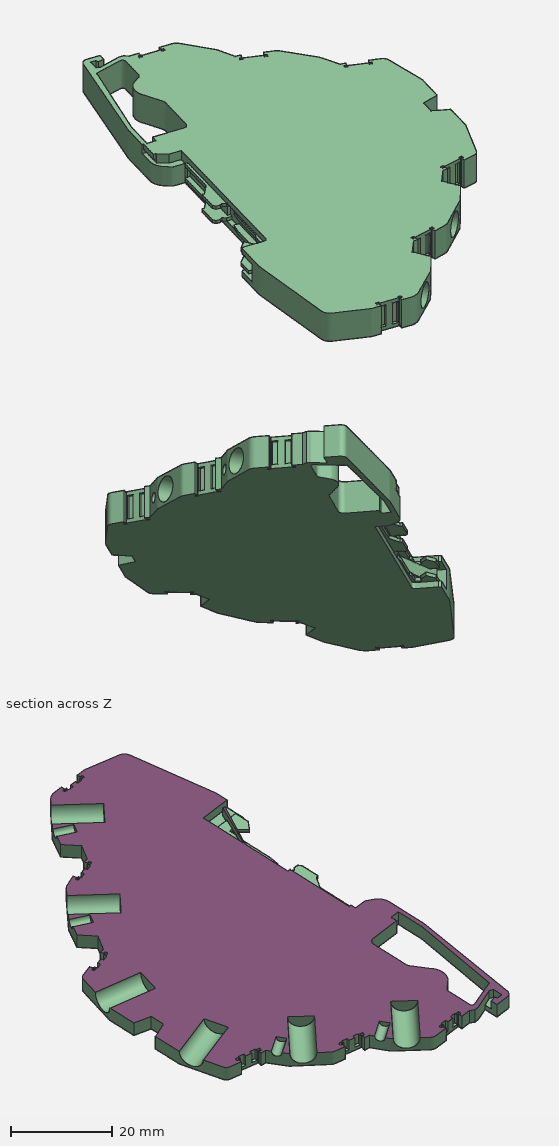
import cadquery as cq
import math

THICKNESS = 6.7
TOTAL_HEIGHT = 60.0
LEFT_END = -46.6
RIGHT_END = 59.4
MID_Z = THICKNESS / 2

HOUSING_BOTTOM = 12.6
HOUSING_LEFT = -43.8
TIER_DROP = 17.1
LEFT_TIER_RUN = 12.1
RIGHT_TIER_RUN = 19.9
RIGHT_TIER_OFFSET = RIGHT_TIER_RUN - LEFT_TIER_RUN
UPPER_FLAT_HALF = 9.3
UPPER_SHOULDER = (19.5, 57.2)
UPPER_LIP = (20.4, 54.0)
UPPER_FOOT = (21.6, 49.3)

GROOVE_LENGTH = 4.6
GROOVE_DEPTH = 1.0
GROOVE_TILT = 15
LOWER_GROOVE_MIDDLE = 17.1
MOUTH_CLEARANCE = 1.1
UNDERCUT_DEPTH = 1.4
UNDERCUT_OVERLAP = 0.1
UNDERCUT_WIDTH = 0.6
POCKET_INNER = 0.7
POCKET_OUTER = 1.9
POCKET_DEPTH = 1.6
POCKET_EDGE = 0.8

BORE_DIAMETER = 5.3
BORE_DEPTH = 10.6
TEST_DIAMETER = 2.1
TEST_DEPTH = 4.2
SIDE_BORE = (27.8, 43.8)
SIDE_BORE_ANGLE = 45
TEST_HOLE = (23.6, 47.1)
TEST_ANGLE = 60
UPPER_BORE = (11.9, 59.3)
UPPER_BORE_ANGLE = 75

RAIL_TOP = 5.8
RAIL_LEFT = -7.1
RAIL_RIGHT = 27.9
LOOP_RIGHT = -14.2
LOOP_WALL = 1.5
LATCH_POCKET_FLOOR = 1.3

FOOT_BOTTOM_Z = 1.3
FOOT_TOP_Z = 5.4
PLATE = 0.7
FOOT_LEFT = -5.9
FOOT_RIGHT = 32.5
FOOT_POCKET_TOP = 7.0
WEB_EDGE = 6.4
WEB_RIGHT = 10.0
PLATE_GAP_LEFT = 10.7
PLATE_GAP_RIGHT = 13.7
PLATE_RIGHT = 29.7
PLATE_EDGE = 5.2
TONGUE_START = (21.3, FOOT_POCKET_TOP)
TONGUE_END = (31.7, 1.7)
TONGUE_THICKNESS = 0.6

STEP_Z = 4.6
STEP_HEIGHT = 1.0
COVER_BOTTOM = 0.3
COVER_RIGHT = -10.1
COVER_TOE = (-10.5, 0)
COVER_RAIL_LEFT = -8.7
LEG_BEND_HEIGHT = 3.1


def prism(points, bottom=0.0, top=THICKNESS):
    """Straight-sided outline extruded between two Z levels."""
    return cq.Workplane("XY").workplane(offset=bottom).polyline(points).close().extrude(top - bottom)


def block(x0, x1, y0, y1, z0=0.0, z1=THICKNESS):
    return prism([(x0, y0), (x1, y0), (x1, y1), (x0, y1)], z0, z1)


def mirrored(points):
    return [(-x, y) for x, y in points]


def rounded(solid, corners):
    """Round the full-height edges standing at the given (position, radius) corners."""
    for (x, y), radius in corners:
        edge = cq.selectors.NearestToPointSelector((x, y, MID_Z))
        solid = solid.edges("|Z").edges(edge).fillet(radius)
    return solid


def shifted(points, dx, dy):
    return [(x + dx, y + dy) for x, y in points]


upper_end = [
    (UPPER_FLAT_HALF, TOTAL_HEIGHT),
    UPPER_SHOULDER,
    UPPER_LIP,
    UPPER_FOOT,
]
left_shoulder = (-31.9, 39.5)
right_shoulder = (39.3, 40.0)
lower_left_shoulder = (HOUSING_LEFT, 23.0)
lower_right_shoulder = (RIGHT_END, 22.7)
right_valley = [(21.7, 48.3), (25.0, 46.3), (28.3, 48.9), (32.9, 46.3)]
left_step = [(-21.7, 48.2), (-25.9, 45.8), left_shoulder, (-32.5, 37.1), (-33.8, 32.3)]
right_step = right_valley + [right_shoulder, (40.3, 37.1), (41.5, 32.3)]
left_lower = [(-33.9, 31.2), (-37.7, 29.0), lower_left_shoulder, (HOUSING_LEFT, HOUSING_BOTTOM)]
right_lower = shifted(right_valley, RIGHT_TIER_RUN, -TIER_DROP) + [
    lower_right_shoulder,
    (RIGHT_END, HOUSING_BOTTOM),
]
left_side = mirrored(upper_end) + left_step + left_lower
right_side = upper_end + right_step + right_lower
housing = rounded(
    prism(left_side + right_side[::-1]),
    [
        (mirrored([UPPER_SHOULDER])[0], 1.5),
        (UPPER_SHOULDER, 1.5),
        (left_shoulder, 1.6),
        (right_shoulder, 1.6),
        (lower_left_shoulder, 2.1),
        (lower_right_shoulder, 3.1),
    ],
)

notch = prism([(-2.9, TOTAL_HEIGHT), (-1.6, 56.3), (1.6, 56.3), (2.9, TOTAL_HEIGHT)])
housing = housing.cut(notch)


def groove_cutter():
    """Groove opening toward -X, its mouth centred on the origin."""
    half = GROOVE_LENGTH / 2
    cutter = block(-MOUTH_CLEARANCE, GROOVE_DEPTH, -half, half)
    for side in (-1, 1):
        undercut_middle = side * (half + UNDERCUT_WIDTH / 2 - UNDERCUT_OVERLAP)
        undercut = block(
            GROOVE_DEPTH - UNDERCUT_OVERLAP,
            UNDERCUT_DEPTH,
            undercut_middle - UNDERCUT_WIDTH / 2,
            undercut_middle + UNDERCUT_WIDTH / 2,
        )
        pocket = block(
            0,
            POCKET_DEPTH,
            min(side * POCKET_INNER, side * POCKET_OUTER),
            max(side * POCKET_INNER, side * POCKET_OUTER),
            POCKET_EDGE,
            THICKNESS - POCKET_EDGE,
        )
        cutter = cutter.union(undercut).union(pocket)
    return cutter


left_groove = groove_cutter()
tilted_groove = left_groove.rotate((0, 0, 0), (0, 0, 1), -GROOVE_TILT)
upper_middle = (-(UPPER_LIP[0] + UPPER_FOOT[0]) / 2, (UPPER_LIP[1] + UPPER_FOOT[1]) / 2)
left_cutters = [
    (tilted_groove, upper_middle, 0),
    (tilted_groove, (upper_middle[0] - LEFT_TIER_RUN, upper_middle[1] - TIER_DROP), RIGHT_TIER_OFFSET),
    (left_groove, (HOUSING_LEFT, LOWER_GROOVE_MIDDLE), RIGHT_END + HOUSING_LEFT),
]
for cutter, (x, y), right_offset in left_cutters:
    left = cutter.translate((x, y, 0))
    right = left.mirror("YZ").translate((right_offset, 0, 0))
    housing = housing.cut(left).cut(right)


def bore(position, angle, diameter, depth, side):
    """Blind hole centred in the thickness; angle is the slope of its axis, side is -1 left or 1 right."""
    outward = cq.Vector(side * math.cos(math.radians(angle)), math.sin(math.radians(angle)), 0)
    centre = cq.Vector(position[0], position[1], MID_Z)
    start = centre + outward * MOUTH_CLEARANCE
    return cq.Workplane(cq.Solid.makeCylinder(diameter / 2, depth + MOUTH_CLEARANCE, start, outward * -1))


for side in (-1, 1):
    upper_entry = (side * UPPER_BORE[0], UPPER_BORE[1])
    housing = housing.cut(bore(upper_entry, UPPER_BORE_ANGLE, BORE_DIAMETER, BORE_DEPTH, side))
    for tier in (0, 1):
        run = tier * LEFT_TIER_RUN
        offset = (tier + 1) * RIGHT_TIER_OFFSET if side > 0 else 0
        drop = tier * TIER_DROP
        entry = (side * (SIDE_BORE[0] + run) + offset, SIDE_BORE[1] - drop)
        test = (side * (TEST_HOLE[0] + run) + offset, TEST_HOLE[1] - drop)
        housing = housing.cut(bore(entry, SIDE_BORE_ANGLE, BORE_DIAMETER, BORE_DEPTH, side))
        housing = housing.cut(bore(test, TEST_ANGLE, TEST_DIAMETER, TEST_DEPTH, side))

latch_corner = (LEFT_END, 3.4)
loop_bend = (-20.1, 0)
toe = (-9.1, 0)
toe_top = (RAIL_LEFT, LEG_BEND_HEIGHT)
rail_corner = (RAIL_RIGHT, RAIL_TOP)
heel = (35.6, 0)
nose = (56.8, 3.6)
base = prism([
    (HOUSING_LEFT, HOUSING_BOTTOM),
    (-44.4, 11.7),
    (-44.4, 10.7),
    (-43.5, 7.6),
    (LEFT_END, 7.6),
    latch_corner,
    loop_bend,
    toe,
    toe_top,
    (RAIL_LEFT, RAIL_TOP),
    rail_corner,
    (RAIL_RIGHT, 0.5),
    (28.2, 0),
    heel,
    nose,
    (RIGHT_END, HOUSING_BOTTOM),
])
base = rounded(
    base,
    [
        (latch_corner, 1.4),
        (loop_bend, 5.3),
        (toe, 3.4),
        (toe_top, 1.2),
        (rail_corner, 0.6),
        (heel, 6.0),
        (nose, 2.1),
    ],
)

window_top = HOUSING_BOTTOM - LOOP_WALL
window_corner = (-43.4, window_top)
bump_left = (-36.5, window_top)
bump_right = (-25.9, window_top)
bar_x = LOOP_RIGHT - LOOP_WALL
bar_tip = 3.1
strip_top = 1.1
window = (
    cq.Workplane("XY")
    .moveTo(*window_corner)
    .lineTo(-41.2, 4.0)
    .lineTo(-20.6, strip_top)
    .lineTo(LOOP_RIGHT, strip_top)
    .lineTo(LOOP_RIGHT, bar_tip)
    .lineTo(bar_x, bar_tip)
    .lineTo(bar_x, window_top)
    .lineTo(*bump_right)
    .lineTo(-29.7, 8.8)
    .threePointArc((-32.2, 7.8), (-34.6, 8.7))
    .lineTo(*bump_left)
    .close()
    .extrude(THICKNESS)
)
window = rounded(
    window,
    [
        (window_corner, 0.6),
        ((bar_x, window_top), 1.2),
        (bump_right, 1.6),
        (bump_left, 1.1),
    ],
)
latch_pocket = prism(
    [(-45.0, 7.6), (-44.7, 6.3), (-45.4, 6.0), (-45.4, 4.9), (-43.1, 4.9), (-42.8, 5.7), (-43.5, 7.6)],
    LATCH_POCKET_FLOOR,
)
base = base.cut(window).cut(latch_pocket)

leg_step = block(LOOP_RIGHT, RAIL_LEFT, 0, STEP_HEIGHT, STEP_Z)
leg_slot = prism(
    [
        COVER_TOE,
        (COVER_RAIL_LEFT, LEG_BEND_HEIGHT),
        (COVER_RAIL_LEFT, RAIL_TOP),
        (RAIL_LEFT, RAIL_TOP),
        (RAIL_LEFT, 0),
    ],
    STEP_Z,
)
cover = block(LOOP_RIGHT, COVER_RIGHT, COVER_BOTTOM, STEP_HEIGHT, FOOT_TOP_Z)
base = base.cut(leg_step).cut(leg_slot).union(cover)

foot_pocket = block(FOOT_LEFT, FOOT_RIGHT, 0, FOOT_POCKET_TOP, FOOT_BOTTOM_Z, FOOT_TOP_Z)
base = base.cut(foot_pocket)

left_plate = [
    (FOOT_LEFT, FOOT_POCKET_TOP),
    (FOOT_LEFT, PLATE_EDGE),
    (3.0, PLATE_EDGE),
    (5.5, 3.5),
    (5.5, 3.0),
    (10.0, 3.0),
    (10.6, 3.5),
    (10.6, 4.5),
    (10.2, 5.0),
    (PLATE_GAP_LEFT, 5.7),
    (PLATE_GAP_LEFT, FOOT_POCKET_TOP),
]
right_plate = [
    (PLATE_GAP_RIGHT, FOOT_POCKET_TOP),
    (PLATE_GAP_RIGHT, RAIL_TOP),
    (16.1, 5.5),
    (23.4, 5.5),
    (24.4, PLATE_EDGE),
    (27.1, PLATE_EDGE),
    (27.1, 3.8),
    (26.2, 3.8),
    (24.5, 2.3),
    (26.3, 0.7),
    (PLATE_RIGHT, 0.7),
    (PLATE_RIGHT, FOOT_POCKET_TOP),
]
for plate_bottom in (FOOT_BOTTOM_Z, FOOT_TOP_Z - PLATE):
    for outline in (left_plate, right_plate):
        base = base.union(prism(outline, plate_bottom, plate_bottom + PLATE))

web = block(FOOT_LEFT, WEB_RIGHT, WEB_EDGE, FOOT_POCKET_TOP, FOOT_BOTTOM_Z, FOOT_TOP_Z)

tongue_outline = [
    TONGUE_START,
    TONGUE_END,
    (TONGUE_END[0], TONGUE_END[1] + TONGUE_THICKNESS),
    (TONGUE_START[0] + TONGUE_THICKNESS, TONGUE_START[1]),
]
tongue = prism(tongue_outline, FOOT_BOTTOM_Z + PLATE, FOOT_TOP_Z - PLATE)
beyond_plates = block(PLATE_RIGHT, FOOT_RIGHT, 0, FOOT_POCKET_TOP)
tongue_end = prism(tongue_outline, FOOT_BOTTOM_Z, FOOT_TOP_Z).intersect(beyond_plates)
base = base.union(web).union(tongue).union(tongue_end)

result = housing.union(base)